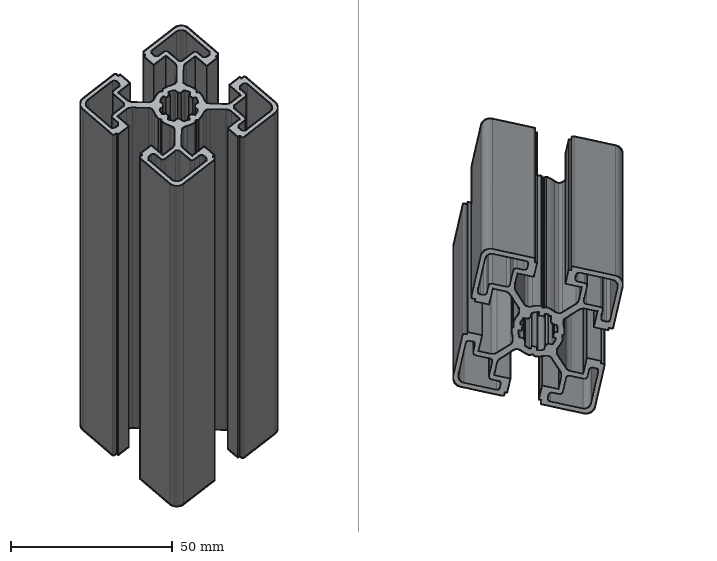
import cadquery as cq
import math

WIDTH = 45.0
LENGTH = 170.0
CORNER_RADIUS = 3.0
HALF_WIDTH = WIDTH / 2

SLOT_OPENING = 10.0
LIP_STEP_WIDTH = 11.5
LIP_STEP_DEPTH = 1.3
LIP_ROUND_RADIUS = 0.55
LIP_DEPTH = 5.9
SLOT_INNER_WIDTH = 20.4
WEB_THICKNESS = 2.1
WEB_WALL_FILLET_RADIUS = 2.5
WEB_FLOOR_FILLET_RADIUS = 1.5
SLOT_FLOOR = 7.0

HUB_RADIUS = 8.1
HUB_FILLET_RADIUS = 3.0
GROOVE_WIDTH = 1.6
GROOVE_DEPTH = 0.4
GROOVE_FLOOR_WIDTH = 0.4

WALL = 1.5
LIP_END_WALL = 2.6
CHAMBER_CORNER_RADIUS = 2.2
CHAMBER_TIP_RADIUS = 1.0
CHAMBER_STEP_RADIUS = 1.0

BORE_RADIUS = 5.0
RELIEF_RADIUS = 6.1
RELIEF_SPAN = 6.3
AXIS_RIB_WIDTH = 1.8
RELIEF_FILLET_RADIUS = 0.4

BOTTOM = -LENGTH / 2
FACES = 4


def prism(sketch):
    """Extrude a closed outline over the full length of the bar."""
    return sketch.close().extrude(LENGTH)


def outline_start():
    return cq.Workplane("XY").workplane(offset=BOTTOM)


def around_axis(solid, index):
    return solid.rotate((0, 0, 0), (0, 0, 1), index * 360 / FACES)


def round_edges(solid, places, radius):
    """Fillet the lengthwise edges that pass through the given XY places."""
    for x, y in places:
        solid = solid.edges(cq.selectors.NearestToPointSelector((x, y, 0))).fillet(radius)
    return solid


def point_on_circle(center, radius, degrees):
    """Point on a circle, at an angle measured from +X."""
    angle = math.radians(degrees)
    return center[0] + radius * math.cos(angle), center[1] + radius * math.sin(angle)


def make_slot():
    """T-slot in the +Y face: its +X half is drawn, then mirrored."""
    mouth_x = SLOT_OPENING / 2
    lip_y = HALF_WIDTH - LIP_DEPTH
    step_x = LIP_STEP_WIDTH / 2
    step_y = HALF_WIDTH - LIP_STEP_DEPTH

    round_center = (step_x + LIP_ROUND_RADIUS, HALF_WIDTH - LIP_ROUND_RADIUS)
    round_start = (round_center[0], HALF_WIDTH)
    round_end = (step_x, round_center[1])
    round_middle = point_on_circle(round_center, LIP_ROUND_RADIUS, 135)

    web_offset = WEB_THICKNESS / math.sqrt(2)
    inner_x = SLOT_INNER_WIDTH / 2
    web_outer_end = (inner_x, inner_x + web_offset)
    web_inner_end = (SLOT_FLOOR - web_offset, SLOT_FLOOR)

    hub_end = (math.sqrt(HUB_RADIUS**2 - SLOT_FLOOR**2), SLOT_FLOOR)
    groove_x = GROOVE_WIDTH / 2
    groove_edge = (groove_x, math.sqrt(HUB_RADIUS**2 - groove_x**2))
    hub_angle = (math.atan2(hub_end[1], hub_end[0]) + math.atan2(groove_edge[1], groove_edge[0])) / 2
    hub_middle = point_on_circle((0, 0), HUB_RADIUS, math.degrees(hub_angle))
    groove_floor_y = groove_edge[1] - GROOVE_DEPTH

    half = prism(
        outline_start()
        .moveTo(*round_start)
        .threePointArc(round_middle, round_end)
        .lineTo(step_x, step_y)
        .lineTo(mouth_x, step_y)
        .lineTo(mouth_x, lip_y)
        .lineTo(inner_x, lip_y)
        .lineTo(*web_outer_end)
        .lineTo(*web_inner_end)
        .lineTo(*hub_end)
        .threePointArc(hub_middle, groove_edge)
        .lineTo(GROOVE_FLOOR_WIDTH / 2, groove_floor_y)
        .lineTo(0, groove_floor_y)
        .lineTo(0, HALF_WIDTH)
    )
    half = round_edges(half, [web_outer_end], WEB_WALL_FILLET_RADIUS)
    half = round_edges(half, [web_inner_end], WEB_FLOOR_FILLET_RADIUS)
    half = round_edges(half, [hub_end], HUB_FILLET_RADIUS)
    return half.union(half.mirror("YZ"))


def make_chamber():
    """L-shaped hollow in the +X +Y corner."""
    outer = HALF_WIDTH - WALL
    tip = SLOT_OPENING / 2 + LIP_END_WALL
    step = HALF_WIDTH - LIP_DEPTH + WALL
    inner = SLOT_INNER_WIDTH / 2 + WALL
    points = [
        (inner, inner),
        (step, inner),
        (step, tip),
        (outer, tip),
        (outer, outer),
        (tip, outer),
        (tip, step),
        (inner, step),
    ]
    chamber = prism(outline_start().polyline(points))
    chamber = round_edges(chamber, [(outer, outer)], CHAMBER_CORNER_RADIUS)
    tips = [(step, tip), (outer, tip), (tip, outer), (tip, step)]
    chamber = round_edges(chamber, tips, CHAMBER_TIP_RADIUS)
    return round_edges(chamber, [(inner, inner), (step, inner), (inner, step)], CHAMBER_STEP_RADIUS)


def make_reliefs():
    """Pair of pockets, one on each side of the axis rib facing +Y."""
    disc = outline_start().circle(RELIEF_RADIUS).extrude(LENGTH)
    rib_x = AXIS_RIB_WIDTH / 2
    side_x = RELIEF_SPAN / 2
    band = prism(
        outline_start()
        .moveTo(rib_x, 0)
        .lineTo(side_x, 0)
        .lineTo(side_x, RELIEF_RADIUS)
        .lineTo(rib_x, RELIEF_RADIUS)
    )
    corners = [(x, math.sqrt(RELIEF_RADIUS**2 - x**2)) for x in (rib_x, side_x)]
    pocket = round_edges(disc.intersect(band), corners, RELIEF_FILLET_RADIUS)
    return pocket.union(pocket.mirror("YZ"))


def make_bar():
    bar = cq.Workplane("XY").box(WIDTH, WIDTH, LENGTH)
    bar = bar.edges("|Z").fillet(CORNER_RADIUS)
    slot = make_slot()
    chamber = make_chamber()
    reliefs = make_reliefs()
    for index in range(FACES):
        for cutter in (slot, chamber, reliefs):
            bar = bar.cut(around_axis(cutter, index))
    bore = outline_start().circle(BORE_RADIUS).extrude(LENGTH)
    return bar.cut(bore)


result = make_bar()